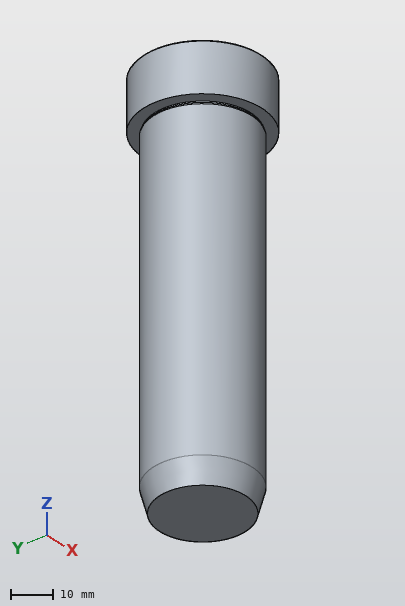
import cadquery as cq
import math

total_length = 120.0
head_diameter = 36.0
head_height = 15.0
shank_diameter = 30.0

head_chamfer = 0.5
undercut_depth = 0.4
undercut_width = 1.0
undercut_ramp = 0.6
tip_length = 7.2
tip_angle = 15.0

head_radius = head_diameter / 2
shank_radius = shank_diameter / 2
undercut_radius = shank_radius - undercut_depth
tip_radius = shank_radius - tip_length * math.tan(math.radians(tip_angle))

head_bottom = total_length - head_height
undercut_bottom = head_bottom - undercut_width

profile = (
    cq.Workplane("XZ")
    .moveTo(0, 0)
    .lineTo(tip_radius, 0)
    .lineTo(shank_radius, tip_length)
    .lineTo(shank_radius, undercut_bottom)
    .lineTo(undercut_radius, undercut_bottom + undercut_ramp)
    .lineTo(undercut_radius, head_bottom)
    .lineTo(head_radius, head_bottom)
    .lineTo(head_radius, total_length - head_chamfer)
    .lineTo(head_radius - head_chamfer, total_length)
    .lineTo(0, total_length)
    .close()
)
result = profile.revolve(360, (0, 0, 0), (0, 1, 0))